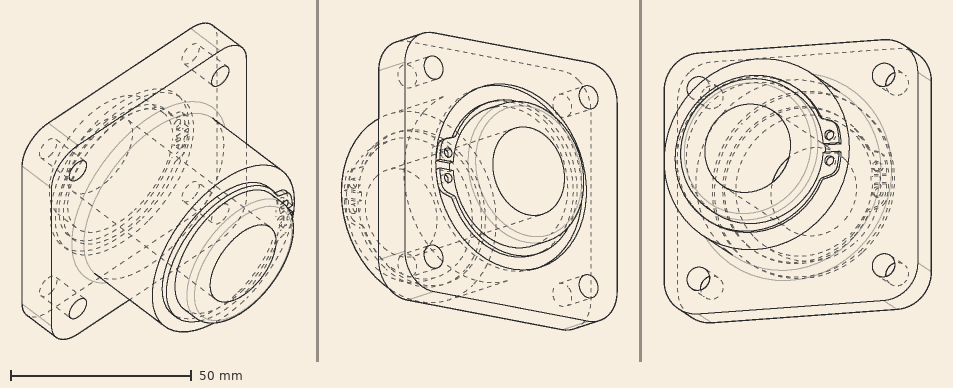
import cadquery as cq
import math

shaft_length = 58.0
flange_start = 8.0
flange_thickness = 12.0
flange_end = flange_start + flange_thickness
body_end = 50.0

flange_side = 74.0
flange_corner_radius = 10.0
bolt_spacing = 54.0
bolt_hole_diameter = 6.6

body_diameter = 54.0
body_fillet = 2.4
recess_diameter = 52.55
recess_depth = 2.0
shaft_diameter = 39.95
shaft_edge_radius = 1.5
bore_diameter = 25.0

ring_thickness = 1.7
ring_outer_radius = 22.05
ring_offset = 1.2
ring_gap = 2.45
lug_outer_radius = 24.65
lug_corner_angle = math.radians(17.2)
lug_shoulder_y = 19.0
lug_shoulder_z = 8.6
lug_corner_radius = 3.1
lug_root_radius = 1.0
lug_hole_y = 21.7
lug_hole_z = 3.6
lug_hole_diameter = 2.6


def cross_section(x):
    """Workplane normal to the shaft at x, with local axes along Y and Z."""
    return cq.Workplane("YZ", origin=(x, 0, 0))


def lug_arc_point(angle):
    return (lug_outer_radius * math.cos(angle), lug_outer_radius * math.sin(angle))


def edge_near(x, y, z):
    """Selector for the ring edge nearest (y, z), halfway through a ring starting at x."""
    return cq.selectors.NearestToPointSelector((x + ring_thickness / 2, y, z))


def retaining_ring(x):
    """Open ring occupying x to x + ring_thickness, still filled inside the shaft."""
    band = cross_section(x).center(-ring_offset, 0).circle(ring_outer_radius).extrude(ring_thickness)
    lug = (
        cross_section(x)
        .moveTo(0, 0)
        .lineTo(lug_outer_radius, 0)
        .threePointArc(lug_arc_point(lug_corner_angle / 2), lug_arc_point(lug_corner_angle))
        .lineTo(lug_shoulder_y, lug_shoulder_z)
        .close()
        .extrude(ring_thickness)
    )
    corner_y, corner_z = lug_arc_point(lug_corner_angle)
    lug = lug.edges(edge_near(x, corner_y, corner_z)).fillet(lug_corner_radius)
    ring = band.union(lug).union(lug.mirror("XY"))
    for side in (1, -1):
        root_edge = edge_near(x, lug_shoulder_y, side * lug_shoulder_z)
        ring = ring.edges("|X").edges(root_edge).fillet(lug_root_radius)
    gap = (
        cross_section(x)
        .center(lug_outer_radius / 2, 0)
        .rect(lug_outer_radius, ring_gap)
        .extrude(ring_thickness)
    )
    holes = (
        cross_section(x)
        .pushPoints([(lug_hole_y, lug_hole_z), (lug_hole_y, -lug_hole_z)])
        .circle(lug_hole_diameter / 2)
        .extrude(ring_thickness)
    )
    return ring.cut(gap).cut(holes)


flange = (
    cross_section(flange_start)
    .rect(flange_side, flange_side)
    .extrude(flange_thickness)
    .edges("|X")
    .fillet(flange_corner_radius)
)

body_radius = body_diameter / 2
fillet_middle = body_fillet * (1 - math.sqrt(0.5))
body = (
    cq.Workplane("XY")
    .moveTo(flange_start, 0)
    .lineTo(flange_start, body_radius + body_fillet)
    .lineTo(flange_end, body_radius + body_fillet)
    .threePointArc(
        (flange_end + fillet_middle, body_radius + fillet_middle),
        (flange_end + body_fillet, body_radius),
    )
    .lineTo(body_end, body_radius)
    .lineTo(body_end, 0)
    .close()
    .revolve(360, (0, 0, 0), (1, 0, 0))
)
housing = flange.union(body)

bolt_holes = (
    cross_section(flange_start)
    .rect(bolt_spacing, bolt_spacing, forConstruction=True)
    .vertices()
    .circle(bolt_hole_diameter / 2)
    .extrude(flange_thickness)
)
recess = cross_section(flange_start).circle(recess_diameter / 2).extrude(recess_depth)
housing = housing.cut(bolt_holes).cut(recess)

shaft = cross_section(0).circle(shaft_diameter / 2).extrude(shaft_length)
shaft = shaft.faces("<X or >X").edges().fillet(shaft_edge_radius)
front_ring = retaining_ring(flange_start + recess_depth - ring_thickness)
rear_ring = retaining_ring(body_end)
bore = cross_section(0).circle(bore_diameter / 2).extrude(shaft_length)

result = housing.union(shaft).union(front_ring).union(rear_ring).cut(bore)